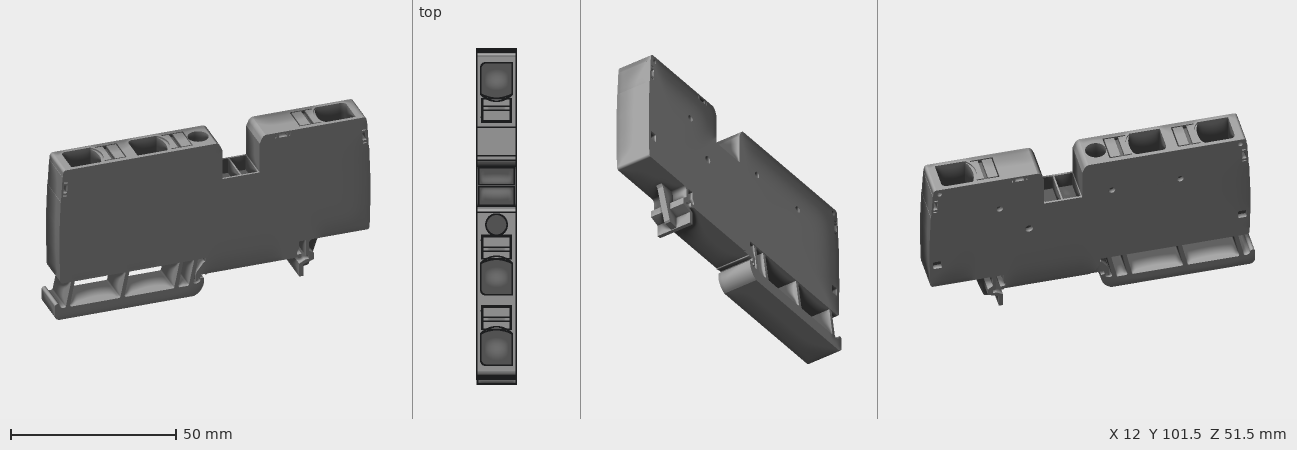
import cadquery as cq


width = 12.0
x_near = -width / 2
top_z = 51.5
half_length = 50.0
base_z = 12.45
rail_z = 7.0

end_top_y = 48.7
end_shoulder_y = 49.6
end_shoulder_z = 40.8
end_bulge_z = 25.0
end_bottom_y = 49.7
end_top_radius = 1.0
end_bottom_radius = 0.9

notch_y = 8.4
notch_half = 6.0
notch_floor_z = 38.85
notch_edge_z = 48.8
notch_flare_half = 6.55
notch_flare_z = 50.1
notch_mouth_half = 7.9
notch_pocket_width = 10.7
notch_pockets = ((2.7, 8.3), (8.8, 14.0))
notch_pocket_depth = 5.0

well_depth = 15.0
well_floor_z = top_z - well_depth
funnel_half_width = 4.75
funnel_corner_radius = 1.5
funnel_length = 9.5
funnel_crest = 1.2
lip_crest = 2.1
lip_depth = 0.55
terminals = ((36.2, 1), (-14.9, -1), (-36.2, -1))
pusher_well_width = 9.0
pusher_well_length = 7.05
pusher_well_outer = 1.35
pusher_gap = 0.4
pusher_groove_start = 3.5
pusher_groove_width = 1.2
pusher_groove_depth = 1.0
test_hole_y = -3.25
test_hole_radius = 3.2

peep_radius = 1.05
peep_offset = 0.35
peep_z = 39.7
side_hole_depth = 1.7
latch_hole_y = 19.0
latch_hole_z = 29.7
latch_hole_radius = 1.25
end_square_y = 47.5
end_square_z = 21.0
end_square_size = 2.75
end_square_radius = 0.4
end_hole_y = 46.85
end_hole_z = 49.65
end_hole_radius = 0.75

marker_length = 8.5
marker_thickness = 0.6
marker_channel_length = 4.8
marker_channel_depth = 1.2
marker_leg_width = 0.7
marker_leg_gap = 0.35
top_marker_y = 21.9
end_marker_y = 49.25
end_marker_z = 45.0
end_marker_tilt = 3.5

clip_web_thickness = 2.0
foot_recess = 0.2
foot_top_z = 3.9
foot_tail_y = half_length - 101.47
strut_tops = (-5.45, -10.2, -27.5, -45.05)
strut_top_width = 1.2
strut_bottom_width = 1.3
strut_lean = 1.65
strut_fillet = 0.5


def profile(start_x=x_near):
    """Sketch plane across the block: local x is Y and local y is Z."""
    return cq.Workplane("YZ", origin=(start_x, 0, 0))


def box(x_size, y_from, y_to, z_from, z_to):
    """Block centred on X."""
    return (
        cq.Workplane("XY", origin=(0, (y_from + y_to) / 2, z_from))
        .rect(x_size, y_to - y_from)
        .extrude(z_to - z_from)
    )


def main_block():
    """Block between the two bulged ends."""
    block = (
        profile()
        .moveTo(-end_bottom_y, base_z)
        .lineTo(end_bottom_y, base_z)
        .threePointArc((half_length, end_bulge_z), (end_shoulder_y, end_shoulder_z))
        .lineTo(end_top_y, top_z)
        .lineTo(-end_top_y, top_z)
        .lineTo(-end_shoulder_y, end_shoulder_z)
        .threePointArc((-half_length, end_bulge_z), (-end_bottom_y, base_z))
        .close()
        .extrude(width)
    )
    top_corners = cq.selectors.BoxSelector((-width, 48, 51), (width, 50, 52))
    top_corners += cq.selectors.BoxSelector((-width, -50, 51), (width, -48, 52))
    bottom_corners = cq.selectors.BoxSelector((-width, 49, 12), (width, 51, 13))
    bottom_corners += cq.selectors.BoxSelector((-width, -51, 12), (width, -49, 13))
    block = block.edges("|X").edges(top_corners).fillet(end_top_radius)
    return block.edges("|X").edges(bottom_corners).fillet(end_bottom_radius)


def notch():
    """Opening in the top whose mouth flares out on both sides."""
    arc_y = notch_flare_half + 0.55
    arc_z = notch_flare_z + 0.9
    left = notch_y + notch_half
    right = notch_y - notch_half
    return (
        profile()
        .moveTo(right, notch_floor_z)
        .lineTo(left, notch_floor_z)
        .lineTo(left, notch_edge_z)
        .lineTo(notch_y + notch_flare_half, notch_flare_z)
        .threePointArc((notch_y + arc_y, arc_z), (notch_y + notch_mouth_half, top_z))
        .lineTo(notch_y - notch_mouth_half, top_z)
        .threePointArc((notch_y - arc_y, arc_z), (notch_y - notch_flare_half, notch_flare_z))
        .lineTo(right, notch_edge_z)
        .close()
        .extrude(width)
    )


def rail_side():
    """Part below the block that rests on the rail, with a hooked lip next to the clip slot."""
    return (
        profile()
        .moveTo(27.0, base_z)
        .lineTo(27.0, 10.0)
        .lineTo(26.3, 9.0)
        .lineTo(26.4, 8.05)
        .lineTo(27.9, 7.95)
        .lineTo(27.9, 7.2)
        .threePointArc((27.3, 6.6), (26.6, rail_z))
        .lineTo(0.2, rail_z)
        .threePointArc((-2.0, 8.5), (-3.1, 11.0))
        .lineTo(-3.1, base_z)
        .close()
        .extrude(width)
    )


def clip_arm():
    """Full-width springy arm that hooks under the rail edge."""
    return (
        profile()
        .moveTo(31.3, base_z)
        .threePointArc((30.55, 12.0), (30.25, 11.2))
        .lineTo(30.25, 8.7)
        .lineTo(31.8, 7.6)
        .lineTo(31.8, 5.4)
        .lineTo(28.4, 4.2)
        .lineTo(28.4, 0.25)
        .lineTo(27.1, 0.25)
        .lineTo(27.1, 4.7)
        .lineTo(29.0, 5.75)
        .lineTo(30.3, 5.85)
        .lineTo(30.3, rail_z)
        .lineTo(29.3, rail_z)
        .lineTo(29.3, base_z)
        .close()
        .extrude(width)
    )


def clip_web():
    """Thin web at mid-width that stiffens the clip arm."""
    return (
        profile(-clip_web_thickness / 2)
        .moveTo(36.2, base_z)
        .lineTo(35.5, 11.6)
        .lineTo(32.0, 1.3)
        .lineTo(31.5, 0.85)
        .lineTo(28.4, 0.45)
        .lineTo(28.4, 4.2)
        .lineTo(31.8, 5.4)
        .lineTo(31.8, 7.6)
        .lineTo(30.25, 8.7)
        .lineTo(30.25, base_z)
        .close()
        .extrude(clip_web_thickness)
    )


def rail_hook():
    """Fixed hook that grips the other edge of the rail."""
    return (
        profile(x_near + foot_recess)
        .moveTo(0.2, rail_z)
        .lineTo(-2.6, rail_z)
        .threePointArc((-2.85, 6.65), (-3.1, rail_z))
        .lineTo(-4.6, rail_z)
        .lineTo(-4.6, 6.0)
        .lineTo(-5.5, 5.9)
        .lineTo(-5.5, 5.1)
        .lineTo(-6.15, 5.1)
        .lineTo(-6.15, 7.0)
        .threePointArc((-5.9, 8.0), (-5.3, 8.9))
        .lineTo(-3.5, 11.2)
        .lineTo(-2.9, 11.2)
        .lineTo(0.2, 8.0)
        .close()
        .extrude(width - foot_recess)
    )


def foot():
    """Long bar under the housing, with a cupped front and an upturned tail."""
    return (
        profile(x_near + foot_recess)
        .moveTo(-3.5, 5.6)
        .lineTo(-3.5, 4.2)
        .threePointArc((-4.5, 1.7), (-6.7, 0))
        .lineTo(-49.9, 0)
        .threePointArc((-51.0, 0.5), (foot_tail_y, 1.6))
        .lineTo(foot_tail_y, 4.9)
        .threePointArc((-50.75, 5.6), (-50.0, 5.1))
        .threePointArc((-49.7, 4.3), (-49.1, foot_top_z))
        .lineTo(-7.0, foot_top_z)
        .lineTo(-7.0, 4.6)
        .threePointArc((-5.8, 4.2), (-4.65, 5.1))
        .lineTo(-4.65, 5.8)
        .close()
        .extrude(width - foot_recess)
    )


def strut(top_y):
    """Leaning wall that joins the foot to the housing."""
    return (
        profile(x_near + foot_recess)
        .moveTo(top_y, base_z)
        .lineTo(top_y - strut_top_width, base_z)
        .lineTo(top_y - strut_lean - strut_bottom_width, foot_top_z)
        .lineTo(top_y - strut_lean, foot_top_z)
        .close()
        .extrude(width - foot_recess)
    )


def strut_corners():
    """Selector for the corners where the struts meet the foot, behind the cupped front."""
    margin = 0.05
    last_strut_y = strut_tops[-1] - strut_lean - strut_bottom_width
    return cq.selectors.BoxSelector(
        (-width, last_strut_y - margin, foot_top_z - margin),
        (width, strut_tops[0] - strut_lean - margin, foot_top_z + margin),
    )


def funnel(start_y, outward, depth, crest):
    """Funnel space down from the top, with a bowed inner end and one rounded outer corner."""
    outer_y = start_y + outward * funnel_length
    corner_y = outer_y - outward * funnel_corner_radius
    corner_x = funnel_corner_radius - funnel_half_width
    bend = funnel_corner_radius * (1 - 0.5 ** 0.5)
    return (
        cq.Workplane("XY", origin=(0, 0, top_z - depth))
        .moveTo(funnel_half_width, start_y)
        .lineTo(funnel_half_width, outer_y)
        .lineTo(corner_x, outer_y)
        .threePointArc((bend - funnel_half_width, outer_y - outward * bend), (-funnel_half_width, corner_y))
        .lineTo(-funnel_half_width, start_y)
        .threePointArc((0, start_y - outward * crest), (funnel_half_width, start_y))
        .close()
        .extrude(depth)
    )


def wire_funnel(start_y, outward):
    return funnel(start_y, outward, well_depth, funnel_crest)


def funnel_lip(start_y, outward):
    return funnel(start_y, outward, lip_depth, lip_crest)


def pusher_inner_y(start_y, outward):
    """Y of the inner end of a pusher well."""
    return start_y - outward * (pusher_well_outer + pusher_well_length)


def pusher_well(start_y, outward):
    outer_y = start_y - outward * pusher_well_outer
    low_y, high_y = sorted((outer_y, pusher_inner_y(start_y, outward)))
    return box(pusher_well_width, low_y, high_y, well_floor_z, top_z)


def make_pusher(start_y, outward):
    """Loose block in its well, grooved across the top and scooped out where the funnel's rim reaches it."""
    inner_y = pusher_inner_y(start_y, outward)
    outer_y = start_y - outward * pusher_well_outer
    low_y, high_y = sorted((inner_y + outward * pusher_gap, outer_y))
    block = box(pusher_well_width - 2 * pusher_gap, low_y, high_y, well_floor_z, top_z)
    groove_y = inner_y + outward * (pusher_groove_start + pusher_groove_width / 2)
    groove = box(
        pusher_well_width,
        groove_y - pusher_groove_width / 2,
        groove_y + pusher_groove_width / 2,
        top_z - pusher_groove_depth,
        top_z,
    )
    return block.cut(groove).cut(funnel_lip(start_y, outward)).solids()


def marker_blank():
    """Flat plate with two legs that stand in the channel of its seat."""
    blank = box(width, -marker_length / 2, marker_length / 2, -marker_thickness, 0)
    leg_outer = marker_channel_length / 2 - marker_leg_gap
    leg_inner = leg_outer - marker_leg_width
    leg_end_z = -marker_thickness - marker_channel_depth
    for low_y, high_y in ((leg_inner, leg_outer), (-leg_outer, -leg_inner)):
        blank = blank.union(box(width, low_y, high_y, leg_end_z, -marker_thickness))
    return blank.solids()


def marker_seat_blank():
    """Space for the plate, open outward, with the channel for the legs below it."""
    seat = box(width, -marker_length / 2, marker_length / 2, -marker_thickness, marker_thickness)
    half_channel = marker_channel_length / 2
    channel_z = -marker_thickness - marker_channel_depth
    return seat.union(box(width, -half_channel, half_channel, channel_z, -marker_thickness))


marker_places = (
    (0, top_marker_y, top_z),
    (end_marker_tilt - 90, end_marker_y, end_marker_z),
    (90 - end_marker_tilt, -end_marker_y, end_marker_z),
)


def place_marker(shape, angle, y, z):
    return shape.rotate((0, 0, 0), (1, 0, 0), angle).translate((0, y, z))


def side_holes():
    """Shallow holes in the -X face."""
    peeps = [
        (pusher_inner_y(start_y, outward) + outward * peep_offset, peep_z) for start_y, outward in terminals
    ]
    holes = profile().pushPoints(peeps).circle(peep_radius).extrude(side_hole_depth)
    latch = profile().center(latch_hole_y, latch_hole_z).circle(latch_hole_radius).extrude(side_hole_depth)
    end_holes = (
        profile()
        .pushPoints([(end_hole_y, end_hole_z), (-end_hole_y, end_hole_z)])
        .circle(end_hole_radius)
        .extrude(side_hole_depth)
    )
    squares = (
        profile()
        .pushPoints([(end_square_y, end_square_z), (-end_square_y, end_square_z)])
        .rect(end_square_size, end_square_size)
        .extrude(side_hole_depth)
        .edges("|X")
        .fillet(end_square_radius)
    )
    return [holes, latch, end_holes, squares]


def make_housing():
    body = main_block().cut(notch())
    for piece in (rail_side(), clip_arm(), clip_web(), rail_hook(), foot()):
        body = body.union(piece)
    for top_y in strut_tops:
        body = body.union(strut(top_y))
    body = body.edges("|X").edges(strut_corners()).fillet(strut_fillet)
    for low_y, high_y in notch_pockets:
        pocket_floor_z = notch_floor_z - notch_pocket_depth
        body = body.cut(box(notch_pocket_width, low_y, high_y, pocket_floor_z, notch_floor_z))
    for terminal in terminals:
        body = body.cut(wire_funnel(*terminal)).cut(funnel_lip(*terminal)).cut(pusher_well(*terminal))
    test_hole = (
        cq.Workplane("XY", origin=(0, test_hole_y, well_floor_z)).circle(test_hole_radius).extrude(well_depth)
    )
    body = body.cut(test_hole)
    for hole in side_holes():
        body = body.cut(hole)
    for place in marker_places:
        body = body.cut(place_marker(marker_seat_blank(), *place))
    return body.solids()


housing = make_housing()
pushers = [make_pusher(*terminal) for terminal in terminals]
markers = [place_marker(marker_blank(), *place) for place in marker_places]

result = cq.Compound.makeCompound(
    [
        housing.val(),
        *[pusher.val() for pusher in pushers],
        *[marker.val() for marker in markers],
    ]
)